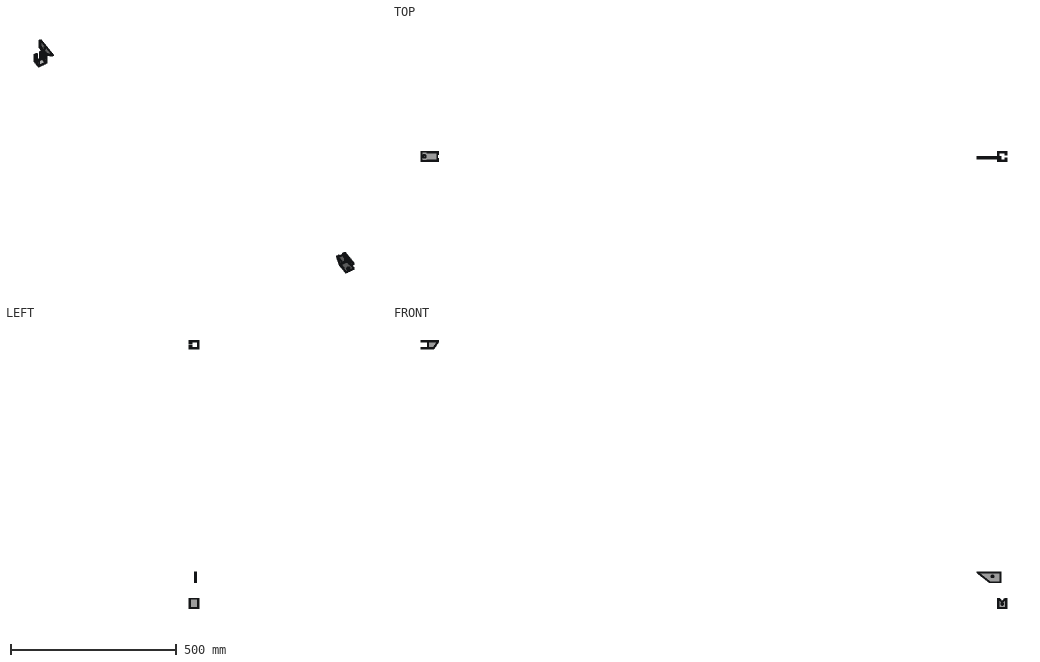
import cadquery as cq

TOTAL_LENGTH = 1765.0
TOTAL_HEIGHT = 807.0
DEPTH = 28.0

WALL = 2.6
LIP_WIDTH = 9.0
ARM_HOLE_DIAMETER = 8.0
SMALL_HOLE_DIAMETER = 5.0

ARM_LENGTH = 51.0
ARM_BOTTOM_LENGTH = 35.0
ARM_HEIGHT = 25.0
ARM_LIP_RETURN = 7.0
ARM_FORK_LENGTH = 18.0
ARM_WEB_DIP = 2.0
ARM_HOLE_X = 9.0
ARM_NOTCH_DEPTH = 4.0
ARM_NOTCH_WIDTH = 15.0

POST_WIDTH = 26.0
POST_HEIGHT = 28.0
POST_LIP_RETURN = 4.0
POST_NOTCH_WIDTH = 18.0
POST_NOTCH_DEPTH = 10.0
POST_HOLE_Z = 12.0

PLATE_LEFT = 1677.0
PLATE_LENGTH = 70.0
PLATE_BOTTOM_LENGTH = 34.0
PLATE_BOTTOM = 78.0
PLATE_HEIGHT = 30.0
PLATE_THICKNESS = 5.0
PLATE_FRONT_Y = 7.0
PLATE_HOLE_X = 1723.0
PLATE_HOLE_Z = 95.0


def lipped_channel(plane, depth, width, lip_return, length):
    """Channel with in-turned lips: web at local x = 0, mouth at local x = depth."""
    lower_half = [
        (0, 0),
        (depth, 0),
        (depth, LIP_WIDTH),
        (depth - lip_return, LIP_WIDTH),
        (depth - lip_return, LIP_WIDTH - WALL),
        (depth - WALL, LIP_WIDTH - WALL),
        (depth - WALL, WALL),
        (WALL, WALL),
    ]
    upper_half = [(x, width - y) for x, y in reversed(lower_half)]
    return cq.Workplane(plane).polyline(lower_half + upper_half).close().extrude(length)


def make_arm():
    bottom = TOTAL_HEIGHT - ARM_HEIGHT
    arm = lipped_channel("YZ", DEPTH, ARM_HEIGHT, ARM_LIP_RETURN, ARM_LENGTH).translate((0, 0, bottom))

    end_cut = (
        cq.Workplane("XZ")
        .moveTo(ARM_BOTTOM_LENGTH, bottom)
        .lineTo(ARM_LENGTH, bottom)
        .lineTo(ARM_LENGTH, TOTAL_HEIGHT - WALL)
        .close()
        .extrude(-DEPTH)
    )
    fork_gap = (
        cq.Workplane("XZ")
        .moveTo(0, bottom + WALL)
        .lineTo(ARM_FORK_LENGTH, bottom + WALL)
        .threePointArc(
            (ARM_FORK_LENGTH + ARM_WEB_DIP, bottom + ARM_HEIGHT / 2),
            (ARM_FORK_LENGTH, TOTAL_HEIGHT - WALL),
        )
        .lineTo(0, TOTAL_HEIGHT - WALL)
        .close()
        .extrude(-DEPTH)
    )
    fork_holes = (
        cq.Workplane("XY", origin=(ARM_HOLE_X, DEPTH / 2, bottom))
        .circle(ARM_HOLE_DIAMETER / 2)
        .extrude(ARM_HEIGHT)
    )
    end_notch = cq.Workplane("XY").box(
        ARM_NOTCH_DEPTH, ARM_NOTCH_WIDTH, WALL, centered=(False, True, False)
    ).translate((ARM_LENGTH - ARM_NOTCH_DEPTH, DEPTH / 2, TOTAL_HEIGHT - WALL))
    return arm.cut(end_cut).cut(fork_gap).cut(fork_holes).cut(end_notch)


def make_post():
    left = TOTAL_LENGTH - POST_WIDTH
    center_x = left + POST_WIDTH / 2
    post = lipped_channel("XY", POST_WIDTH, DEPTH, POST_LIP_RETURN, POST_HEIGHT).translate((left, 0, 0))

    top_notch = (
        cq.Workplane("XZ")
        .moveTo(center_x - POST_NOTCH_WIDTH / 2, POST_HEIGHT)
        .lineTo(center_x, POST_HEIGHT - POST_NOTCH_DEPTH)
        .lineTo(center_x + POST_NOTCH_WIDTH / 2, POST_HEIGHT)
        .close()
        .extrude(-DEPTH)
    )
    flange_holes = (
        cq.Workplane("XZ", origin=(center_x, 0, POST_HOLE_Z))
        .circle(SMALL_HOLE_DIAMETER / 2)
        .extrude(-DEPTH)
    )
    return post.cut(top_notch).cut(flange_holes)


def make_plate():
    right = PLATE_LEFT + PLATE_LENGTH
    top = PLATE_BOTTOM + PLATE_HEIGHT
    plate = (
        cq.Workplane("XZ", origin=(0, PLATE_FRONT_Y, 0))
        .moveTo(PLATE_LEFT, top)
        .lineTo(right - PLATE_BOTTOM_LENGTH, PLATE_BOTTOM)
        .lineTo(right, PLATE_BOTTOM)
        .lineTo(right, top)
        .close()
        .extrude(-PLATE_THICKNESS)
    )
    hole = (
        cq.Workplane("XZ", origin=(PLATE_HOLE_X, PLATE_FRONT_Y, PLATE_HOLE_Z))
        .circle(SMALL_HOLE_DIAMETER / 2)
        .extrude(-PLATE_THICKNESS)
    )
    return plate.cut(hole)


arm = make_arm()
post = make_post()
plate = make_plate()

result = cq.Compound.makeCompound([arm.val(), post.val(), plate.val()])